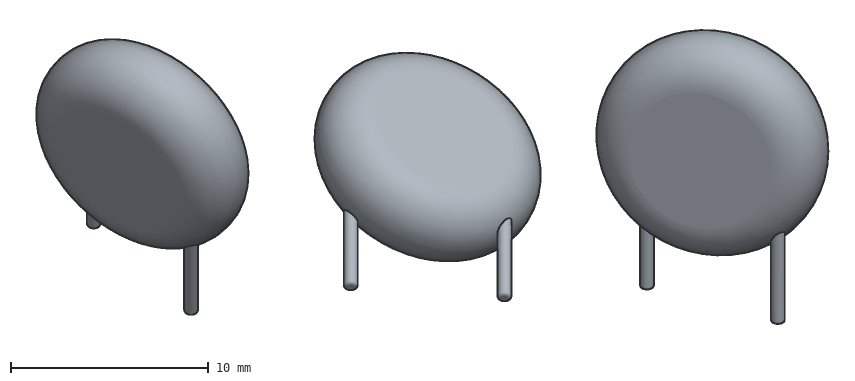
import cadquery as cq

body_diameter = 12.0
body_thickness = 4.6
rim_band_width = 0.14
rim_radius = (body_thickness - rim_band_width) / 2

total_height = 15.03
lead_diameter = 0.72
lead_spacing = 7.5
lead_stagger = 2.22
lead_tip_radius = 0.18
lead_top_z = -3.0
lead_bottom_z = body_diameter / 2 - total_height


def make_body():
    """Disc with both rims rounded, leaving a narrow cylindrical band."""
    disc = cq.Workplane("XZ").circle(body_diameter / 2).extrude(body_thickness / 2, both=True)
    return disc.edges("%CIRCLE").fillet(rim_radius)


def make_lead(x, y):
    """Straight round lead with a rounded lower tip."""
    lead = (
        cq.Workplane("XY", origin=(x, y, lead_bottom_z))
        .circle(lead_diameter / 2)
        .extrude(lead_top_z - lead_bottom_z)
    )
    return lead.faces("<Z").edges().fillet(lead_tip_radius)


result = make_body()
for side in (-1, 1):
    result = result.union(make_lead(side * lead_spacing / 2, -side * lead_stagger / 2))